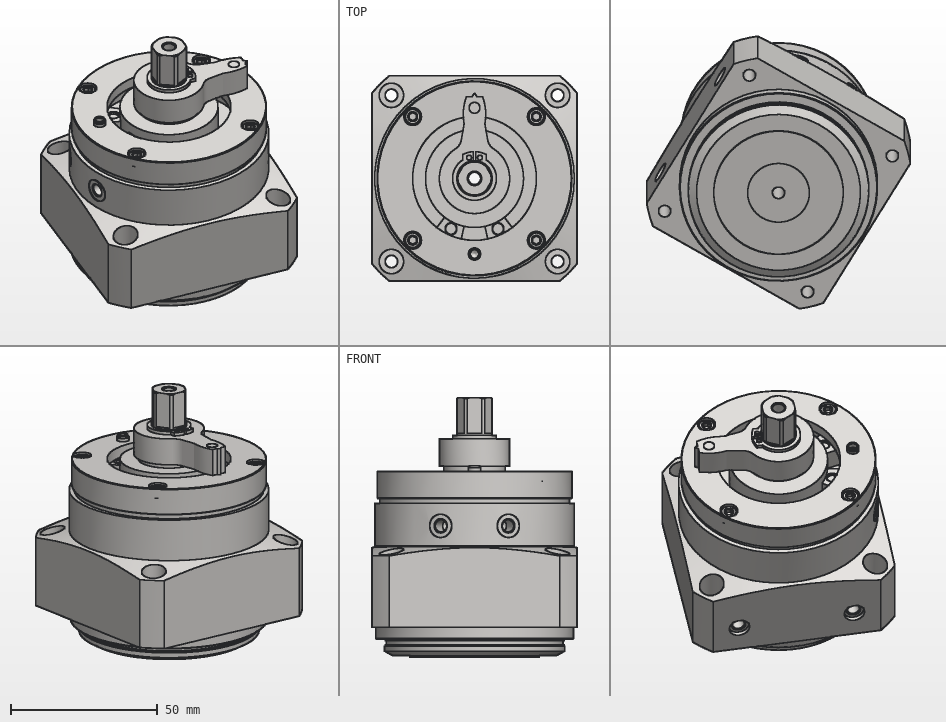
import cadquery as cq
import math

SQUARE_BOTTOM_Z = 10.2
BODY_BASE_Z = 38.0
SLOPE_TOP_Z = 37.6
BODY_TOP_Z = 52.5
CAP_BOTTOM_Z = 54.1
CAP_TOP_Z = 63.45
LEVER_BOTTOM_Z = 65.1
LEVER_TOP_Z = 74.4
CLIP_THICKNESS = 1.15
CLIP_TOP_Z = LEVER_TOP_Z + CLIP_THICKNESS
HEX_BOTTOM_Z = 76.3
SHAFT_TOP_Z = 88.5

BOTTOM_PLATE_D = 44.2
BOTTOM_PLATE_H = 0.5
TAPER_SMALL_D = 55.8
LIP_D = 61.6
LIP_BOTTOM_Z = 2.1
LIP_TOP_Z = 3.8
GROOVE_D = 60.4
GROOVE_BOTTOM_Z = 4.3
GROOVE_TOP_Z = 5.7
SHOULDER_D = 61.1
FLANGE_D = 67.5
FLANGE_BOTTOM_Z = 6.2
EDGE_CHAMFER = 0.3

SQUARE_SIDE = 70.0
SQUARE_CORNER_D = 91.0
SLOPE_ANGLE = 15.0
CORNER_HOLE_OFFSET = 28.3
CORNER_HOLE_D = 4.2
CORNER_COUNTERBORE_D = 8.3
CORNER_COUNTERBORE_FLOOR_Z = 26.55

PORT_D = 4.2
PORT_CHAMFER = 0.35
PORT_LEAD_IN = 0.9
SIDE_PORT_Y = 19.9
SIDE_PORT_Z = 20.3
SIDE_PORT_RECESS_D = 7.0
SIDE_PORT_RECESS_DEPTH = 1.5
SIDE_PORT_DEPTH = 6.5
FRONT_PORT_ANGLE = 20.0
FRONT_PORT_Z = 44.8
FRONT_PORT_SEAT_D = 8.0
FRONT_PORT_SEAT_DEPTH = 0.3
FRONT_PORT_DEPTH = 7.7
DRILL_POINT_ANGLE = 118.0

BODY_D = 68.1
RELIEF_D = 60.2
NECK_D = 64.8
CAP_D = 66.5
OPENING_D = 42.2
CAVITY_D = 51.4
COVER_THICKNESS = 3.9
CAVITY_FLOOR_Z = 52.1
COVER_UNDERSIDE_Z = CAP_TOP_Z - COVER_THICKNESS

STOP_INNER_ANGLE = 12.3
STOP_OUTER_ANGLE = 37.5
STOP_HOLE_RADIUS = 18.9
STOP_HOLE_ANGLE = 25.0
STOP_HOLE_D = 3.7
STOP_HOLE_DEPTH = 0.9
STOP_HOLE_CHAMFER = 0.2

SCREW_OFFSET = 21.1
SCREW_POCKET_D = 6.0
SCREW_POCKET_DEPTH = 3.5
SCREW_HEAD_D = 5.5
SCREW_HEAD_SINK = 0.5
SCREW_HEAD_CHAMFER = 0.3
SCREW_SOCKET_FLATS = 2.5
SCREW_SOCKET_MOUTH_D = 3.3
SCREW_SOCKET_DEPTH = 1.7

NIPPLE_Y = -25.75
NIPPLE_BASE_D = 4.2
NIPPLE_BASE_H = 1.15
NIPPLE_TOP_D = 3.45
NIPPLE_H = 1.9
NIPPLE_BORE_D = 2.9
NIPPLE_BORE_DEPTH = 2.2

SHAFT_D = 12.0
JOURNAL_D = 21.1
DISC_D = 33.45
DISC_TOP_Z = CAP_TOP_Z
CLIP_GROOVE_D = 11.5
HEX_FLATS = 11.0
SHAFT_CHAMFER = 0.35
SHAFT_BORE_D = 4.2
SHAFT_BORE_CHAMFER = 0.35

HUB_D = 24.0
LEVER_POINT_Y = 29.0
LEVER_TIP_Y = 27.9
LEVER_POINT_HALF_WIDTH = 0.8
LEVER_TIP_HALF_WIDTH = 2.7
LEVER_BULGE = (3.85, 21.7)
LEVER_WAIST = (3.5, 18.6)
LEVER_ROOT = (4.5, 13.0)
LEVER_FILLET_MID = (5.4, 11.1)
LEVER_HUB_Y = 9.9
LEVER_MARK_Y = 24.1
LEVER_MARK_D = 3.7
LEVER_MARK_DEPTH = 0.1

CLIP_D = 15.0
CLIP_EAR_R = 9.1
CLIP_EAR_HALF_WIDTH = 4.1
CLIP_GAP = 0.9
CLIP_HOLE_X = 1.9
CLIP_HOLE_Y = 7.1
CLIP_HOLE_D = 1.7


def disk(diameter, bottom, top):
    """Cylinder on the shaft axis."""
    return cq.Workplane("XY").workplane(offset=bottom).circle(diameter / 2).extrude(top - bottom)


def turned(points):
    """Solid of revolution about Z from (radius, z) points."""
    return cq.Workplane("XZ").polyline(points).close().revolve(360, (0, 0, 0), (0, 1, 0))


def polar(radius, degrees):
    """XY point at an angle measured from -Y towards +X."""
    angle = math.radians(degrees)
    return radius * math.sin(angle), -radius * math.cos(angle)


def drill_point_height(radius):
    """Height of the conical end of a drilled hole."""
    return radius / math.tan(math.radians(DRILL_POINT_ANGLE / 2))


def lower_end():
    """Stepped round spigot below the square block."""
    flange_r = FLANGE_D / 2
    return turned([
        (0, 0),
        (BOTTOM_PLATE_D / 2, 0),
        (BOTTOM_PLATE_D / 2, BOTTOM_PLATE_H),
        (TAPER_SMALL_D / 2, BOTTOM_PLATE_H),
        (LIP_D / 2, LIP_BOTTOM_Z),
        (LIP_D / 2, LIP_TOP_Z),
        (SHOULDER_D / 2, LIP_TOP_Z),
        (SHOULDER_D / 2, GROOVE_BOTTOM_Z),
        (GROOVE_D / 2, GROOVE_BOTTOM_Z),
        (GROOVE_D / 2, GROOVE_TOP_Z),
        (SHOULDER_D / 2, GROOVE_TOP_Z),
        (SHOULDER_D / 2, FLANGE_BOTTOM_Z),
        (flange_r - EDGE_CHAMFER, FLANGE_BOTTOM_Z),
        (flange_r, FLANGE_BOTTOM_Z + EDGE_CHAMFER),
        (flange_r, SQUARE_BOTTOM_Z),
        (0, SQUARE_BOTTOM_Z),
    ])


def square_block():
    """Square block with turned corners, a conical top and a counterbored hole in each corner."""
    block = (
        cq.Workplane("XY").workplane(offset=SQUARE_BOTTOM_Z)
        .rect(SQUARE_SIDE, SQUARE_SIDE).extrude(BODY_TOP_Z - SQUARE_BOTTOM_Z)
    )
    cone_r = SQUARE_CORNER_D / 2
    cone_drop = (cone_r - BODY_D / 2) * math.tan(math.radians(SLOPE_ANGLE))
    sloped = turned([
        (0, SQUARE_BOTTOM_Z),
        (cone_r, SQUARE_BOTTOM_Z),
        (cone_r, SLOPE_TOP_Z - cone_drop),
        (BODY_D / 2, SLOPE_TOP_Z),
        (0, SLOPE_TOP_Z),
    ])
    block = block.intersect(sloped)
    spacing = 2 * CORNER_HOLE_OFFSET
    for diameter, floor in ((CORNER_HOLE_D, 0), (CORNER_COUNTERBORE_D, CORNER_COUNTERBORE_FLOOR_Z)):
        holes = (
            cq.Workplane("XY").workplane(offset=floor).rect(spacing, spacing, forConstruction=True)
            .vertices().circle(diameter / 2).extrude(BODY_BASE_Z - floor)
        )
        block = block.cut(holes)
    return block


def round_body():
    """Round body, neck groove and cap, still without the cavity."""
    cap_r = CAP_D / 2
    return turned([
        (0, SQUARE_BOTTOM_Z),
        (RELIEF_D / 2, SQUARE_BOTTOM_Z),
        (RELIEF_D / 2, BODY_BASE_Z),
        (BODY_D / 2, BODY_BASE_Z),
        (BODY_D / 2, BODY_TOP_Z),
        (NECK_D / 2, BODY_TOP_Z),
        (NECK_D / 2, CAP_BOTTOM_Z),
        (cap_r - EDGE_CHAMFER, CAP_BOTTOM_Z),
        (cap_r, CAP_BOTTOM_Z + EDGE_CHAMFER),
        (cap_r, CAP_TOP_Z - EDGE_CHAMFER),
        (cap_r - EDGE_CHAMFER, CAP_TOP_Z),
        (0, CAP_TOP_Z),
    ])


def stop_block(side):
    """Sector-shaped stop on one side (+1 or -1) of -Y, with a shallow chamfered hole on top."""
    inner_r = DISC_D / 2
    outer_r = CAVITY_D / 2
    start = side * STOP_INNER_ANGLE
    end = side * STOP_OUTER_ANGLE
    middle = (start + end) / 2
    block = (
        cq.Workplane("XY").workplane(offset=CAVITY_FLOOR_Z)
        .moveTo(*polar(inner_r, start))
        .lineTo(*polar(outer_r, start))
        .threePointArc(polar(outer_r, middle), polar(outer_r, end))
        .lineTo(*polar(inner_r, end))
        .threePointArc(polar(inner_r, middle), polar(inner_r, start))
        .close().extrude(COVER_UNDERSIDE_Z - CAVITY_FLOOR_Z)
    )
    hole_r = STOP_HOLE_D / 2
    mouth_r = hole_r + STOP_HOLE_CHAMFER
    hole = turned([
        (0, -STOP_HOLE_DEPTH),
        (hole_r, -STOP_HOLE_DEPTH),
        (hole_r, -STOP_HOLE_CHAMFER),
        (mouth_r, 0),
        (0, 0),
    ])
    x, y = polar(STOP_HOLE_RADIUS, side * STOP_HOLE_ANGLE)
    return block.cut(hole.translate((x, y, COVER_UNDERSIDE_Z)))


def cavity():
    """Opening in the cap, the wider cavity under it and the bore for the shaft journal."""
    space = disk(OPENING_D, CAVITY_FLOOR_Z, CAP_TOP_Z)
    space = space.union(disk(CAVITY_D, CAVITY_FLOOR_Z, COVER_UNDERSIDE_Z))
    for side in (-1, 1):
        space = space.cut(stop_block(side))
    return space.union(disk(JOURNAL_D, 0, CAVITY_FLOOR_Z))


def port_hole(depth):
    """Cutter for a blind hole drilled along +Y from the XZ plane, with a chamfered mouth."""
    hole_r = PORT_D / 2
    mouth_r = hole_r + PORT_CHAMFER
    return (
        cq.Workplane("XY").polyline([
            (0, -PORT_LEAD_IN),
            (mouth_r, -PORT_LEAD_IN),
            (mouth_r, 0),
            (hole_r, PORT_CHAMFER),
            (hole_r, depth),
            (0, depth + drill_point_height(hole_r)),
        ]).close().revolve(360, (0, 0, 0), (0, 1, 0))
    )


def cut_front_ports(housing):
    """Two radial ports either side of -Y, each in a shallow round seat that follows the body."""
    seat_r = BODY_D / 2 - FRONT_PORT_SEAT_DEPTH
    hole = port_hole(FRONT_PORT_DEPTH).translate((0, -seat_r, FRONT_PORT_Z))
    seat = (
        cq.Workplane("XZ").center(0, FRONT_PORT_Z).circle(FRONT_PORT_SEAT_D / 2).extrude(BODY_D)
        .cut(disk(2 * seat_r, BODY_BASE_Z, BODY_TOP_Z))
    )
    for angle in (-FRONT_PORT_ANGLE, FRONT_PORT_ANGLE):
        for cutter in (seat, hole):
            housing = housing.cut(cutter.rotate((0, 0, 0), (0, 0, 1), angle))
    return housing


def cut_side_ports(housing):
    """Two recessed ports in the -X face of the square block."""
    recess = cq.Workplane("YZ").circle(SIDE_PORT_RECESS_D / 2).extrude(SIDE_PORT_RECESS_DEPTH)
    hole = port_hole(SIDE_PORT_DEPTH).rotate((0, 0, 0), (0, 0, 1), -90)
    hole = hole.translate((SIDE_PORT_RECESS_DEPTH, 0, 0))
    for y in (-SIDE_PORT_Y, SIDE_PORT_Y):
        for cutter in (recess, hole):
            housing = housing.cut(cutter.translate((-SQUARE_SIDE / 2, y, SIDE_PORT_Z)))
    return housing


def screw_recess():
    """Cutter that leaves a sunk socket-head screw standing in its pocket; cap top face at z = 0."""
    head_top = -SCREW_HEAD_SINK
    head_r = SCREW_HEAD_D / 2
    pocket = disk(SCREW_POCKET_D, -SCREW_POCKET_DEPTH, 0)
    head = turned([
        (0, -SCREW_POCKET_DEPTH),
        (head_r, -SCREW_POCKET_DEPTH),
        (head_r, head_top - SCREW_HEAD_CHAMFER),
        (head_r - SCREW_HEAD_CHAMFER, head_top),
        (0, head_top),
    ])
    socket = (
        cq.Workplane("XY").workplane(offset=head_top)
        .polygon(6, SCREW_SOCKET_FLATS, circumscribed=True).extrude(-SCREW_SOCKET_DEPTH)
    )
    mouth_r = SCREW_SOCKET_MOUTH_D / 2
    mouth = turned([(0, head_top - mouth_r), (mouth_r, head_top), (0, head_top)])
    head = head.cut(socket).cut(mouth)
    return pocket.cut(head)


def add_nipple(housing):
    """Stepped bleed nipple on the cap, with a blind drilled bore."""
    base = disk(NIPPLE_BASE_D, CAP_TOP_Z, CAP_TOP_Z + NIPPLE_BASE_H)
    top = disk(NIPPLE_TOP_D, CAP_TOP_Z, CAP_TOP_Z + NIPPLE_H)
    bore_r = NIPPLE_BORE_D / 2
    top_z = CAP_TOP_Z + NIPPLE_H
    floor_z = top_z - NIPPLE_BORE_DEPTH
    bore = turned([
        (0, floor_z - drill_point_height(bore_r)),
        (bore_r, floor_z),
        (bore_r, top_z),
        (0, top_z),
    ])
    at_place = (0, NIPPLE_Y, 0)
    nipple = base.union(top).translate(at_place)
    return housing.union(nipple).cut(bore.translate(at_place))


def make_housing():
    housing = lower_end().union(square_block()).union(round_body())
    housing = housing.cut(cavity())
    housing = cut_front_ports(housing)
    housing = cut_side_ports(housing)
    recess = screw_recess()
    for x in (-SCREW_OFFSET, SCREW_OFFSET):
        for y in (-SCREW_OFFSET, SCREW_OFFSET):
            housing = housing.cut(recess.translate((x, y, CAP_TOP_Z)))
    return add_nipple(housing)


def make_shaft():
    """Hollow stepped shaft: journal, disc, lever seat, ring groove and hexagonal end."""
    shaft_r = SHAFT_D / 2
    shaft = turned([
        (0, 0),
        (JOURNAL_D / 2, 0),
        (JOURNAL_D / 2, CAVITY_FLOOR_Z),
        (DISC_D / 2, CAVITY_FLOOR_Z),
        (DISC_D / 2, DISC_TOP_Z),
        (JOURNAL_D / 2, DISC_TOP_Z),
        (JOURNAL_D / 2, LEVER_BOTTOM_Z),
        (shaft_r, LEVER_BOTTOM_Z),
        (shaft_r, LEVER_TOP_Z),
        (CLIP_GROOVE_D / 2, LEVER_TOP_Z),
        (CLIP_GROOVE_D / 2, CLIP_TOP_Z),
        (shaft_r, CLIP_TOP_Z),
        (shaft_r, SHAFT_TOP_Z - SHAFT_CHAMFER),
        (shaft_r - SHAFT_CHAMFER, SHAFT_TOP_Z),
        (0, SHAFT_TOP_Z),
    ])
    hex_length = SHAFT_TOP_Z - HEX_BOTTOM_Z
    outside_hex = (
        disk(2 * SHAFT_D, HEX_BOTTOM_Z, SHAFT_TOP_Z)
        .cut(
            cq.Workplane("XY").workplane(offset=HEX_BOTTOM_Z)
            .polygon(6, HEX_FLATS, circumscribed=True).extrude(hex_length)
            .rotate((0, 0, 0), (0, 0, 1), 30)
        )
    )
    bore_r = SHAFT_BORE_D / 2
    mouth_r = bore_r + SHAFT_BORE_CHAMFER
    bore = turned([
        (0, 0),
        (bore_r, 0),
        (bore_r, SHAFT_TOP_Z - SHAFT_BORE_CHAMFER),
        (mouth_r, SHAFT_TOP_Z),
        (0, SHAFT_TOP_Z),
    ])
    return shaft.cut(outside_hex).cut(bore)


def make_lever():
    """Pointer lever: a round hub with a waisted arm that ends in a small point at +Y."""
    root_x = math.sqrt((HUB_D / 2) ** 2 - LEVER_HUB_Y ** 2)
    bulge_x, bulge_y = LEVER_BULGE
    waist_x, waist_y = LEVER_WAIST
    arm_x, arm_y = LEVER_ROOT
    fillet_x, fillet_y = LEVER_FILLET_MID
    tip_x = LEVER_TIP_HALF_WIDTH
    arm = (
        cq.Workplane("XY").workplane(offset=LEVER_BOTTOM_Z)
        .moveTo(-root_x, LEVER_HUB_Y)
        .threePointArc((-fillet_x, fillet_y), (-arm_x, arm_y))
        .lineTo(-waist_x, waist_y)
        .threePointArc((-bulge_x, bulge_y), (-tip_x, LEVER_TIP_Y))
        .lineTo(-LEVER_POINT_HALF_WIDTH, LEVER_TIP_Y)
        .lineTo(0, LEVER_POINT_Y)
        .lineTo(LEVER_POINT_HALF_WIDTH, LEVER_TIP_Y)
        .lineTo(tip_x, LEVER_TIP_Y)
        .threePointArc((bulge_x, bulge_y), (waist_x, waist_y))
        .lineTo(arm_x, arm_y)
        .threePointArc((fillet_x, fillet_y), (root_x, LEVER_HUB_Y))
        .lineTo(0, 0)
        .close().extrude(LEVER_TOP_Z - LEVER_BOTTOM_Z)
    )
    mark = disk(LEVER_MARK_D, LEVER_TOP_Z - LEVER_MARK_DEPTH, LEVER_TOP_Z).translate((0, LEVER_MARK_Y, 0))
    return (
        disk(HUB_D, LEVER_BOTTOM_Z, LEVER_TOP_Z)
        .union(arm)
        .cut(disk(SHAFT_D, LEVER_BOTTOM_Z, LEVER_TOP_Z))
        .cut(mark)
    )


def make_retaining_ring():
    """Retaining ring in the shaft groove, with two holed ears either side of its gap at +Y."""
    ears = disk(2 * CLIP_EAR_R, LEVER_TOP_Z, CLIP_TOP_Z).intersect(
        cq.Workplane("XY").workplane(offset=LEVER_TOP_Z)
        .rect(2 * CLIP_EAR_HALF_WIDTH, 2 * CLIP_EAR_R).extrude(CLIP_THICKNESS)
        .intersect(
            cq.Workplane("XY").workplane(offset=LEVER_TOP_Z)
            .center(0, CLIP_EAR_R).rect(2 * CLIP_EAR_R, 2 * CLIP_EAR_R).extrude(CLIP_THICKNESS)
        )
    )
    gap = (
        cq.Workplane("XY").workplane(offset=LEVER_TOP_Z)
        .center(0, CLIP_EAR_R).rect(CLIP_GAP, 2 * CLIP_EAR_R).extrude(CLIP_THICKNESS)
    )
    ear_holes = (
        cq.Workplane("XY").workplane(offset=LEVER_TOP_Z)
        .pushPoints([(-CLIP_HOLE_X, CLIP_HOLE_Y), (CLIP_HOLE_X, CLIP_HOLE_Y)])
        .circle(CLIP_HOLE_D / 2).extrude(CLIP_THICKNESS)
    )
    return (
        disk(CLIP_D, LEVER_TOP_Z, CLIP_TOP_Z)
        .union(ears)
        .cut(disk(CLIP_GROOVE_D, LEVER_TOP_Z, CLIP_TOP_Z))
        .cut(gap)
        .cut(ear_holes)
    )


housing = make_housing()
shaft = make_shaft()
lever = make_lever()
retaining_ring = make_retaining_ring()

result = cq.Compound.makeCompound([
    housing.val(),
    shaft.val(),
    lever.val(),
    retaining_ring.val(),
])